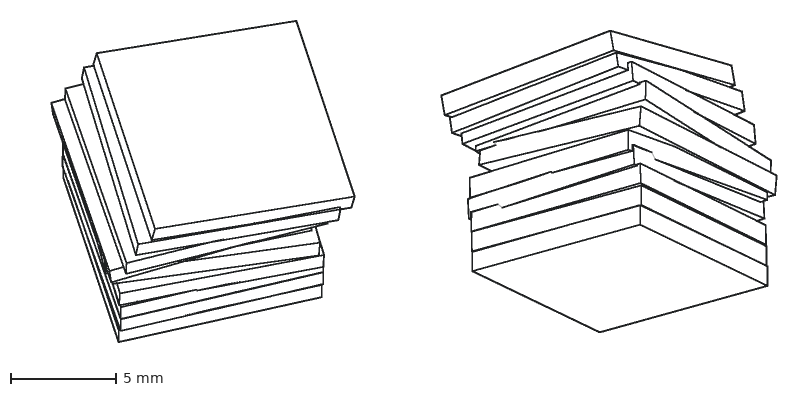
import cadquery as cq

PLATE_SIDE = 10.0
PLATE_THICKNESS = 1.0

PLATE_POSES = [
    ((0, 0, PLATE_THICKNESS / 2), (0, 0, 0)),
    ((0.04, 0.01, 1.52), (-0.3, 0.2, 0.8)),
    ((0.07, 0.01, 2.57), (0, 0.8, 0.7)),
    ((0.13, 0.12, 3.55), (-1.8, 2.0, -1.0)),
    ((-0.04, 0.16, 4.51), (-2.2, -0.8, -4.0)),
    ((-0.29, -0.24, 5.52), (3.1, -3.1, -3.1)),
    ((0.22, -0.57, 6.48), (5.4, 1.8, 0.8)),
    ((0.69, 0.01, 7.5), (0.2, 5.5, 1.7)),
    ((0.85, 0.69, 8.45), (-4.9, 5.8, -0.3)),
    ((0.9, 1.3, 9.4), (-8.0, 5.7, 0.9)),
]


def tilted_plate(centre, turns):
    """Return one plate turned about its own centre and moved into place."""
    turn_x, turn_y, turn_z = turns
    return (
        cq.Workplane("XY")
        .box(PLATE_SIDE, PLATE_SIDE, PLATE_THICKNESS)
        .rotate((0, 0, 0), (1, 0, 0), turn_x)
        .rotate((0, 0, 0), (0, 1, 0), turn_y)
        .rotate((0, 0, 0), (0, 0, 1), turn_z)
        .translate(centre)
    )


result = tilted_plate(*PLATE_POSES[0])
for plate_centre, plate_turns in PLATE_POSES[1:]:
    result = result.union(tilted_plate(plate_centre, plate_turns))